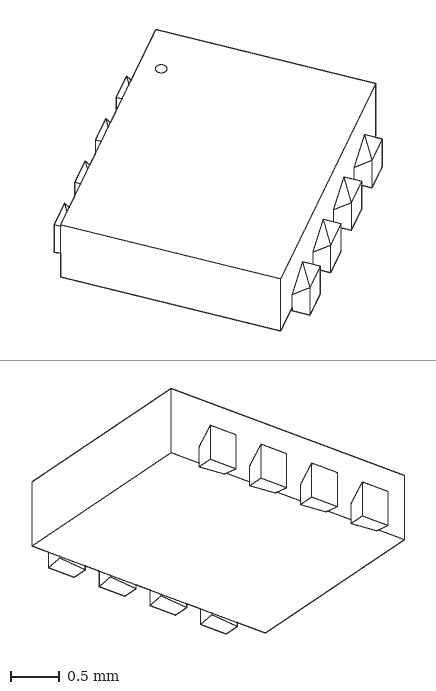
import cadquery as cq

HOUSING_X = 2.4
HOUSING_Y = 3.0
HOUSING_Z = 0.765
STANDOFF = 0.045

LEADS_PER_SIDE = 4
LEAD_PITCH = 0.65
LEAD_REACH = 0.195
LEAD_WIDTH = 0.33
LEAD_HEIGHT = 0.405
TOP_CUT_DEPTH = 0.168
BOTTOM_CUT_DEPTH = 0.027

MARKER_DIAMETER = 0.12
MARKER_DEPTH = 0.03
MARKER_INSET_X = 0.24
MARKER_INSET_Y = 0.522

housing_top = STANDOFF + HOUSING_Z


def make_marker():
    marker_x = MARKER_INSET_X - HOUSING_X / 2
    marker_y = HOUSING_Y / 2 - MARKER_INSET_Y
    return (
        cq.Workplane("XY", origin=(marker_x, marker_y, housing_top - MARKER_DEPTH))
        .circle(MARKER_DIAMETER / 2)
        .extrude(MARKER_DEPTH)
    )


def make_housing(marker):
    block = cq.Workplane("XY", origin=(0, 0, STANDOFF)).box(
        HOUSING_X, HOUSING_Y, HOUSING_Z, centered=(True, True, False)
    )
    return block.cut(marker)


def corner_wedge(y_side, corner_z, apex_z):
    """Tetrahedron at a lead corner on the left housing wall.

    Its base spans half of the lead's top or bottom face, and its apex lies on
    the wall. y_side is +1 for the +Y corner and -1 for the -Y corner.
    """
    wall_x = -HOUSING_X / 2
    outer_x = wall_x - LEAD_REACH
    near_y = y_side * LEAD_WIDTH / 2
    corner = cq.Vector(wall_x, near_y, corner_z)
    outer = cq.Vector(outer_x, near_y, corner_z)
    across = cq.Vector(wall_x, -near_y, corner_z)
    apex = cq.Vector(wall_x, near_y, apex_z)
    triangles = [
        (corner, outer, across),
        (corner, outer, apex),
        (corner, across, apex),
        (outer, across, apex),
    ]
    faces = [cq.Face.makeFromWires(cq.Wire.makePolygon(points, close=True)) for points in triangles]
    return cq.Solid.makeSolid(cq.Shell.makeShell(faces))


def make_left_lead():
    """Lead on the -X wall, centred on Y = 0, with two corners cut at the wall."""
    block = cq.Workplane("XY", origin=(-(HOUSING_X + LEAD_REACH) / 2, 0, 0)).box(
        LEAD_REACH, LEAD_WIDTH, LEAD_HEIGHT, centered=(True, True, False)
    )
    top_cut = corner_wedge(1, LEAD_HEIGHT, LEAD_HEIGHT - TOP_CUT_DEPTH)
    bottom_cut = corner_wedge(-1, 0, BOTTOM_CUT_DEPTH)
    return block.cut(cq.Workplane(top_cut)).cut(cq.Workplane(bottom_cut))


def make_leads():
    """Both rows; the right row is the left row turned half a turn about Z."""
    left_lead = make_left_lead()
    right_lead = left_lead.rotate((0, 0, 0), (0, 0, 1), 180)
    leads = []
    for index in range(LEADS_PER_SIDE):
        lead_y = (index - (LEADS_PER_SIDE - 1) / 2) * LEAD_PITCH
        for lead in (left_lead, right_lead):
            leads.append(lead.translate((0, lead_y, 0)).solids().val())
    return leads


marker = make_marker()
housing = make_housing(marker)
leads = make_leads()

result = cq.Compound.makeCompound([housing.val(), marker.val(), *leads])